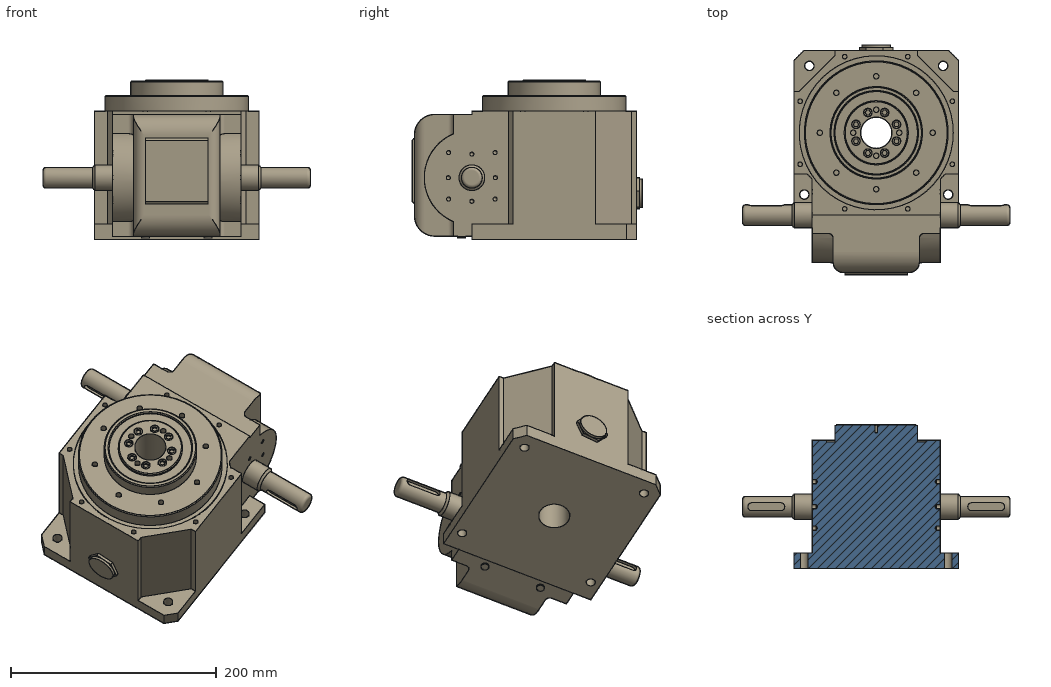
import cadquery as cq
import math

base_half = 80.0
base_thickness = 15.0
base_corner_chamfer = 10.0
housing_top = 124.8

neck_half = 62.5
shoulder_y = -40.0
shoulder_chamfer = 4.7
rear_cut_near = 40.0
rear_cut_far = 75.1

gearbox_bottom = 3.0
gearbox_top = 121.7
gearbox_wall_y = -97.8
nose_half = 41.9
nose_front_y = -136.0
nose_edge_radius = 20.0
nose_side_radius = 10.0
nose_root_radius = 5.0

nameplate_half = 30.5
nameplate_bottom = 34.5
nameplate_top = 98.8
nameplate_height = 2.0
nameplate_bevel = 2.3

shaft_y = -base_half
shaft_z = 60.0
shaft_half_length = 130.0
shaft_radius = 10.1
shaft_end_radius = 3.0
collar_radius = 12.5
collar_end_x = 82.0
bearing_boss_radius = 46.3
keyway_start_x = 89.0
keyway_end_x = 124.8
keyway_width = 7.8
keyway_depth = 3.5

cover_screw_circle = 23.0
housing_screw_circle = 32.0
housing_screw_rise = 1.8
side_screw_radius = 1.95
side_screw_depth = 4.0
drill_tip_height = 1.3

gap_radius = 75.0
gap_depth = 1.8
table_radius = 70.0
table_top = 140.0
hub_radius = 45.0
hub_top = 154.0
hub_recess_radius = 40.0
hub_recess_depth = 2.0
disc_radius = 31.2
disc_top = 155.0
turned_edge_chamfer = 1.0
bore_radius = 15.0

foot_hole_radius = 4.5
rear_foot_hole = 65.0
front_foot_hole = (70.0, -60.0)

blind_hole_depth = 7.8
table_thread_circle = 54.9
table_thread_radius = 2.5
housing_thread_circle = 80.0
housing_thread_radius = 2.2
pin_circle = 22.4
pin_radius = 2.5
disc_screw_circle = 21.3
screw_recess_radius = 4.2
screw_recess_depth = 2.0
screw_head_radius = 4.0
screw_head_height = 1.8
socket_diameter = 5.2
half_pitch = 22.5

gauge_z = 45.0
gauge_hex_diameter = 33.0
gauge_hex_turn = 7
gauge_hex_height = 2.9
gauge_radius = 14.0
gauge_height = 5.5

plug_position = (30.2, -90.0)
plug_radius = 4.0
plug_height = 1.5


def box(x_half, y_min, y_max, z_min, z_max):
    """Block centred on X = 0."""
    return (
        cq.Workplane("XY")
        .box(2 * x_half, y_max - y_min, z_max - z_min, centered=(True, False, False))
        .translate((0, y_min, z_min))
    )


def upright(radius, z_min, z_max):
    """Cylinder on the table axis between two heights."""
    return cq.Workplane("XY").workplane(offset=z_min).circle(radius).extrude(z_max - z_min)


def along_shaft(radius, half_length):
    """Cylinder on the shaft axis, centred on X = 0."""
    return (
        cq.Workplane("YZ", origin=(0, shaft_y, shaft_z))
        .circle(radius)
        .extrude(half_length, both=True)
    )


def hole_circle(circle_radius, start_angle, count=8):
    """Points evenly spaced around a circle."""
    angles = [math.radians(start_angle + i * 360 / count) for i in range(count)]
    return [(circle_radius * math.cos(a), circle_radius * math.sin(a)) for a in angles]


def drilled(points, radius, top, depth):
    """Vertical cutters going down from the given height."""
    return cq.Workplane("XY").workplane(offset=top).pushPoints(points).circle(radius).extrude(-depth)


def make_base():
    foot_holes = [(side * rear_foot_hole, rear_foot_hole) for side in (-1, 1)]
    foot_holes += [(side * front_foot_hole[0], front_foot_hole[1]) for side in (-1, 1)]
    base = box(base_half, -base_half, base_half, 0, base_thickness)
    base = base.edges("|Z and >Y").chamfer(base_corner_chamfer)
    return base.cut(drilled(foot_holes, foot_hole_radius, base_thickness, base_thickness))


def make_housing():
    right_side = [
        (neck_half, -base_half),
        (neck_half, shoulder_y - shoulder_chamfer),
        (neck_half + shoulder_chamfer, shoulder_y),
        (base_half, shoulder_y),
        (base_half, rear_cut_near),
        (rear_cut_far, rear_cut_near),
        (rear_cut_near, rear_cut_far),
        (rear_cut_near, base_half),
    ]
    left_side = [(-x, y) for x, y in reversed(right_side)]
    return cq.Workplane("XY").polyline(right_side + left_side).close().extrude(housing_top)


def make_gearbox():
    side_profile = (
        box(neck_half, nose_front_y, -base_half, gearbox_bottom, gearbox_top)
        .edges("|X and <Y")
        .fillet(nose_edge_radius)
    )
    nose = box(nose_half, nose_front_y, -base_half, gearbox_bottom, gearbox_top)
    nose = nose.edges("|Z and <Y").fillet(nose_side_radius)
    shoulders = box(neck_half, gearbox_wall_y, -base_half, gearbox_bottom, gearbox_top)
    body = shoulders.union(nose)
    margin = nose_root_radius / 2
    root_edges = cq.selectors.BoxSelector(
        (-nose_half - margin, gearbox_wall_y - margin, gearbox_bottom),
        (nose_half + margin, gearbox_wall_y + margin, gearbox_top),
    )
    body = body.edges("|Z").edges(root_edges).fillet(nose_root_radius)
    return body.intersect(side_profile)


def make_nameplate():
    back_y = nose_front_y + nameplate_height
    front_y = nose_front_y - nameplate_height
    profile = [
        (back_y, nameplate_bottom),
        (nose_front_y, nameplate_bottom),
        (front_y, nameplate_bottom + nameplate_bevel),
        (front_y, nameplate_top - nameplate_bevel),
        (nose_front_y, nameplate_top),
        (back_y, nameplate_top),
    ]
    return cq.Workplane("YZ").polyline(profile).close().extrude(nameplate_half, both=True)


def make_shaft():
    shaft = along_shaft(shaft_radius, shaft_half_length).faces("<X or >X").edges().fillet(shaft_end_radius)
    collar = along_shaft(collar_radius, collar_end_x)
    collar = collar.faces("<X or >X").edges().chamfer(collar_radius - shaft_radius)
    shaft = shaft.union(collar)
    for side in (-1, 1):
        keyway = (
            cq.Workplane("XZ", origin=(0, shaft_y + shaft_radius, shaft_z))
            .center(side * (keyway_start_x + keyway_end_x) / 2, 0)
            .slot2D(keyway_end_x - keyway_start_x, keyway_width)
            .extrude(keyway_depth)
        )
        shaft = shaft.cut(keyway)
    return shaft


def make_side_screw_holes():
    points = hole_circle(cover_screw_circle, 0, 4)
    points += [(y, z + housing_screw_rise) for y, z in hole_circle(housing_screw_circle, 45, 4)]
    outline = [
        (0, 0),
        (side_screw_radius, 0),
        (side_screw_radius, side_screw_depth),
        (0, side_screw_depth + drill_tip_height),
    ]
    drill = cq.Workplane("XZ").polyline(outline).close().revolve(360, (0, 0), (0, 1)).val()
    drill = drill.rotate(cq.Vector(0, 0, 0), cq.Vector(0, 1, 0), -90)
    holes = cq.Workplane("XY")
    for y, z in points:
        holes = holes.add(drill.translate(cq.Vector(neck_half, shaft_y + y, shaft_z + z)))
    holes = holes.combine()
    return holes.union(holes.mirror("YZ"))


def make_table():
    groove_floor = housing_top - gap_depth
    recess_floor = hub_top - hub_recess_depth
    table = upright(table_radius, groove_floor, table_top).faces(">Z").edges().chamfer(turned_edge_chamfer)
    hub = upright(hub_radius, table_top, hub_top).faces(">Z").edges().chamfer(turned_edge_chamfer)
    recess = upright(hub_recess_radius, recess_floor, hub_top)
    recess_rim = (
        cq.Workplane("XY", origin=(0, 0, hub_top))
        .circle(hub_recess_radius + turned_edge_chamfer)
        .extrude(-turned_edge_chamfer, taper=45)
    )
    hub = hub.cut(recess).cut(recess_rim)
    disc = upright(disc_radius, recess_floor, disc_top).faces(">Z").edges().chamfer(turned_edge_chamfer)
    table = table.union(hub).union(disc)

    screws = hole_circle(disc_screw_circle, half_pitch)
    head_seat = disc_top - screw_recess_depth
    heads = (
        cq.Workplane("XY")
        .workplane(offset=head_seat)
        .pushPoints(screws)
        .circle(screw_head_radius)
        .pushPoints(screws)
        .polygon(6, socket_diameter)
        .extrude(screw_head_height)
    )
    table = table.cut(drilled(screws, screw_recess_radius, disc_top, screw_recess_depth))
    table = table.union(heads)
    table = table.cut(drilled(hole_circle(pin_circle, 0, 4), pin_radius, disc_top, blind_hole_depth))
    threads = hole_circle(table_thread_circle, 0)
    return table.cut(drilled(threads, table_thread_radius, table_top, blind_hole_depth))


def make_oil_gauge():
    rear_plane = cq.Workplane("XZ", origin=(0, base_half, gauge_z))
    nut_plane = rear_plane.transformed(rotate=(0, 0, gauge_hex_turn))
    nut = nut_plane.polygon(6, gauge_hex_diameter).extrude(-gauge_hex_height)
    glass = rear_plane.circle(gauge_radius).extrude(-gauge_height)
    return nut.union(glass)


def make_drain_plugs():
    points = [(side * plug_position[0], plug_position[1]) for side in (-1, 1)]
    return drilled(points, plug_radius, gearbox_bottom, plug_height)


result = make_base().union(make_housing()).union(make_gearbox())
result = result.union(along_shaft(bearing_boss_radius, neck_half))
result = result.cut(make_side_screw_holes())
result = result.cut(upright(gap_radius, housing_top - gap_depth, housing_top))
housing_threads = hole_circle(housing_thread_circle, half_pitch)
result = result.cut(drilled(housing_threads, housing_thread_radius, housing_top, blind_hole_depth))
for feature in (make_nameplate(), make_shaft(), make_table(), make_oil_gauge(), make_drain_plugs()):
    result = result.union(feature)
result = result.cut(upright(bore_radius, 0, disc_top))